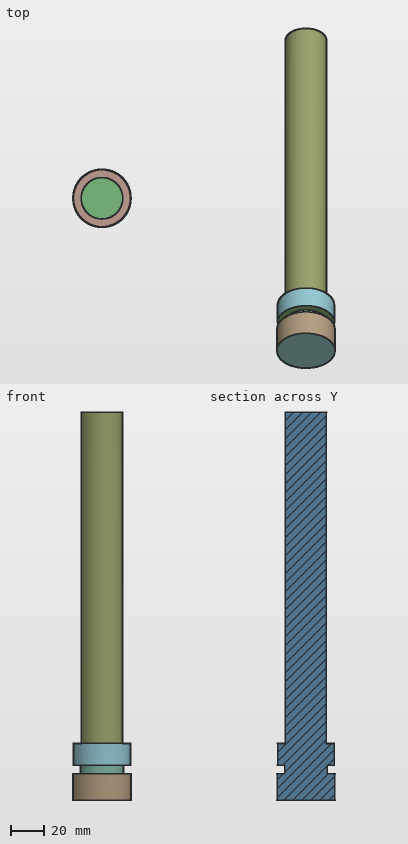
import cadquery as cq

total_length = 234.0
rod_diameter = 25.0
groove_diameter = 26.0
upper_collar_diameter = 34.5
base_diameter = 35.0

base_height = 16.1
groove_height = 5.0
upper_collar_height = 13.3
rod_length = total_length - base_height - groove_height - upper_collar_height


def add_cylinder(body, diameter, height):
    """Stack a coaxial cylinder on the top face of the body."""
    return body.faces(">Z").workplane().circle(diameter / 2).extrude(height)


result = cq.Workplane("XY").circle(base_diameter / 2).extrude(base_height)
result = add_cylinder(result, groove_diameter, groove_height)
result = add_cylinder(result, upper_collar_diameter, upper_collar_height)
result = add_cylinder(result, rod_diameter, rod_length)